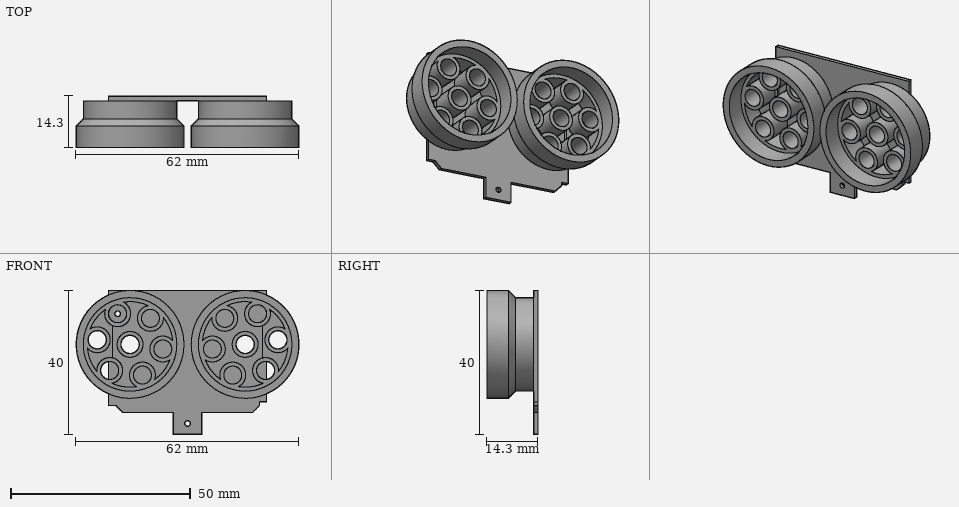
import cadquery as cq
import math

PLATE_THICKNESS = 1.26
PLATE_HALF_WIDTH = 22.0
PLATE_TOP = 15.0
PLATE_BOTTOM = -19.0
TAB_HALF_WIDTH = 4.0
TAB_BOTTOM = -25.0
PIN_HOLE_DIAMETER = 1.5
TAB_HOLE_Z = -22.0

CORNER_CHAMFER = 2.0
SHOULDER_WIDTH = 2.0
NOTCH_HEIGHT = 1.0
SHOULDER_Z = PLATE_BOTTOM + CORNER_CHAMFER
SHOULDER_HALF_WIDTH = PLATE_HALF_WIDTH - SHOULDER_WIDTH
CHAMFER_HALF_WIDTH = SHOULDER_HALF_WIDTH - CORNER_CHAMFER
NOTCH_Z = SHOULDER_Z + NOTCH_HEIGHT

HOUSING_OFFSET = 16.0
BARREL_DIAMETER = 26.0
RIM_DIAMETER = 30.0
HOUSING_DEPTH = 13.0
BARREL_LENGTH = 5.0
CONE_LENGTH = (RIM_DIAMETER - BARREL_DIAMETER) / 2
RIM_BORE_DIAMETER = 26.0
POCKET_DIAMETER = 23.8
TUBE_LENGTH = 7.0

TUBE_DIAMETER = 7.2
TUBE_BORE = 5.0
RING_TUBE_COUNT = 6
RING_RADIUS = 9.2
RING_START_ANGLE = -8.0
PIN_TUBE_INDEX = 2

FLOOR_THICKNESS = 1.0
FLOOR_INNER_EDGE = 4.83


def rod(x, z, diameter, length, start=0.0):
    """Cylinder along -Y, from y = -start to y = -(start + length)."""
    return (
        cq.Workplane("XZ", origin=(0, -start, 0))
        .center(x, z)
        .circle(diameter / 2)
        .extrude(length)
    )


def ring_tube_centres():
    """Tube centres about the axis of the housing on the -X side."""
    step = 360.0 / RING_TUBE_COUNT
    angles = [math.radians(RING_START_ANGLE + step * i) for i in range(RING_TUBE_COUNT)]
    return [(RING_RADIUS * math.cos(a), RING_RADIUS * math.sin(a)) for a in angles]


def make_plate():
    outline = [
        (-PLATE_HALF_WIDTH, PLATE_TOP),
        (-PLATE_HALF_WIDTH, SHOULDER_Z),
        (-SHOULDER_HALF_WIDTH, SHOULDER_Z),
        (-CHAMFER_HALF_WIDTH, PLATE_BOTTOM),
        (-TAB_HALF_WIDTH, PLATE_BOTTOM),
        (-TAB_HALF_WIDTH, TAB_BOTTOM),
        (TAB_HALF_WIDTH, TAB_BOTTOM),
        (TAB_HALF_WIDTH, PLATE_BOTTOM),
        (CHAMFER_HALF_WIDTH, PLATE_BOTTOM),
        (SHOULDER_HALF_WIDTH, SHOULDER_Z),
        (SHOULDER_HALF_WIDTH, NOTCH_Z),
        (PLATE_HALF_WIDTH, NOTCH_Z),
        (PLATE_HALF_WIDTH, PLATE_TOP),
    ]
    return cq.Workplane("XZ").polyline(outline).close().extrude(-PLATE_THICKNESS)


def make_shell():
    """Barrel, cone and rim, hollowed by the pocket and the wider rim bore."""
    barrel_radius = BARREL_DIAMETER / 2
    rim_radius = RIM_DIAMETER / 2
    pocket_radius = POCKET_DIAMETER / 2
    bore_radius = RIM_BORE_DIAMETER / 2
    profile = [
        (pocket_radius, 0),
        (barrel_radius, 0),
        (barrel_radius, -BARREL_LENGTH),
        (rim_radius, -BARREL_LENGTH - CONE_LENGTH),
        (rim_radius, -HOUSING_DEPTH),
        (bore_radius, -HOUSING_DEPTH),
        (bore_radius, -TUBE_LENGTH),
        (pocket_radius, -TUBE_LENGTH),
    ]
    return cq.Workplane("XY").polyline(profile).close().revolve(360, (0, 0, 0), (0, 1, 0))


def make_floor():
    """Segment of the pocket floor on the outer (-X) side."""
    size = BARREL_DIAMETER
    outer_side = cq.Workplane("XY").box(size, size, size).translate((-FLOOR_INNER_EDGE - size / 2, 0, 0))
    return rod(0, 0, BARREL_DIAMETER, FLOOR_THICKNESS).intersect(outer_side)


def make_housing():
    """Housing for the -X side, with its axis on the Y axis."""
    centres = [(0, 0)] + ring_tube_centres()
    housing = make_shell().union(make_floor())
    for x, z in centres:
        housing = housing.union(rod(x, z, TUBE_DIAMETER, TUBE_LENGTH))
    for x, z in centres:
        housing = housing.cut(rod(x, z, TUBE_BORE, TUBE_LENGTH))
    return housing


def through_plate(x, z, diameter):
    """Cutter for a hole through the plate only."""
    return rod(x, z, diameter, PLATE_THICKNESS, -PLATE_THICKNESS)


def make_part():
    housing = make_housing().translate((-HOUSING_OFFSET, 0, 0))
    part = make_plate().union(housing).union(housing.mirror("YZ"))
    for side in (-1, 1):
        part = part.cut(through_plate(side * HOUSING_OFFSET, 0, TUBE_BORE))
    part = part.cut(through_plate(0, TAB_HOLE_Z, PIN_HOLE_DIAMETER))
    pin_x, pin_z = ring_tube_centres()[PIN_TUBE_INDEX]
    return part.cut(through_plate(pin_x - HOUSING_OFFSET, pin_z, PIN_HOLE_DIAMETER))


result = make_part()